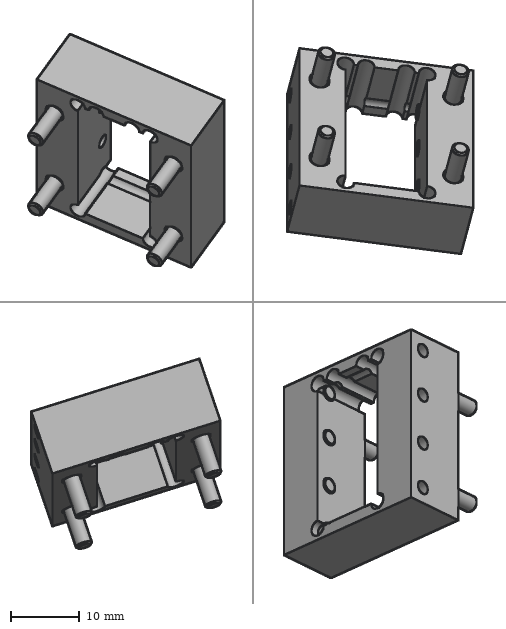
import cadquery as cq

WIDTH = 26.0
DEPTH = 10.0
HEIGHT = 28.0
CAVITY_LEFT = 6.92
CAVITY_RIGHT = WIDTH - CAVITY_LEFT
CAVITY_BOTTOM = 1.95
CAVITY_TOP = HEIGHT - CAVITY_BOTTOM
RELIEF_RADIUS = 1.23

NOTCH_INSET = 10.0
NOTCH_CENTERS_X = (NOTCH_INSET, WIDTH - NOTCH_INSET)

PIN_DIAMETER = 2.5
PIN_RADIUS = PIN_DIAMETER / 2
PIN_CHAMFER = 0.28
PIN_REACH = 6.0
PIN_BODY_RADIUS = 1.48
PIN_SHOULDER = PIN_BODY_RADIUS - PIN_RADIUS
PIN_SHOULDER_DEPTH = 0.28
PIN_INSET_X = 3.0
PIN_INSET_Z = 6.0
PIN_CENTERS_X = (PIN_INSET_X, WIDTH - PIN_INSET_X)
PIN_CENTERS_Z = (PIN_INSET_Z, HEIGHT - PIN_INSET_Z)

CROSS_RADIUS = 1.05
CROSS_BACK_INSET = 2.5
CROSS_Y = DEPTH - CROSS_BACK_INSET
CROSS_OUTER_INSET = 2.58
CROSS_INNER_INSET = 10.0
CROSS_CENTERS_Z = (
    CROSS_OUTER_INSET,
    CROSS_INNER_INSET,
    HEIGHT - CROSS_INNER_INSET,
    HEIGHT - CROSS_OUTER_INSET,
)
PLUG_RADIUS = 1.2
PLUG_CHAMFER = 0.2
PLUG_PROTRUSION = 0.15
PLUG_DEPTH = 2 * RELIEF_RADIUS


def cylinder_along_y(x, z, radius, y_start, length):
    start = cq.Vector(x, y_start, z)
    return cq.Workplane(cq.Solid.makeCylinder(radius, length, start, cq.Vector(0, 1, 0)))


def cylinder_along_x(z, radius, x_start, length):
    start = cq.Vector(x_start, CROSS_Y, z)
    return cq.Workplane(cq.Solid.makeCylinder(radius, length, start, cq.Vector(1, 0, 0)))


def make_frame():
    frame = cq.Workplane().box(WIDTH, DEPTH, HEIGHT, centered=False)
    cavity = (
        cq.Workplane()
        .box(CAVITY_RIGHT - CAVITY_LEFT, DEPTH, CAVITY_TOP - CAVITY_BOTTOM, centered=False)
        .translate((CAVITY_LEFT, 0, CAVITY_BOTTOM))
    )
    frame = frame.cut(cavity)
    corners = [(x, z) for x in (CAVITY_LEFT, CAVITY_RIGHT) for z in (CAVITY_BOTTOM, CAVITY_TOP)]
    notches = [(x, CAVITY_TOP) for x in NOTCH_CENTERS_X]
    for x, z in corners + notches:
        frame = frame.cut(cylinder_along_y(x, z, RELIEF_RADIUS, 0, DEPTH))
    return frame


def make_front_pin(x, z):
    pin = cylinder_along_y(x, z, PIN_RADIUS, -PIN_REACH, PIN_REACH + PIN_SHOULDER_DEPTH)
    pin = pin.faces("<Y").chamfer(PIN_CHAMFER)
    shoulder = cq.Solid.makeCone(
        PIN_RADIUS,
        PIN_BODY_RADIUS,
        PIN_SHOULDER,
        cq.Vector(x, PIN_SHOULDER_DEPTH, z),
        cq.Vector(0, 1, 0),
    )
    return pin.union(cq.Workplane(shoulder))


def add_front_pins(body):
    for x in PIN_CENTERS_X:
        for z in PIN_CENTERS_Z:
            bore = cylinder_along_y(x, z, PIN_BODY_RADIUS, 0, PIN_SHOULDER_DEPTH + PIN_SHOULDER)
            body = body.cut(bore).union(make_front_pin(x, z))
    return body


def add_cross_holes_and_plugs(body):
    plug_start = CAVITY_RIGHT - PLUG_PROTRUSION
    for z in CROSS_CENTERS_Z:
        body = body.cut(cylinder_along_x(z, CROSS_RADIUS, 0, CAVITY_RIGHT))
        body = body.cut(cylinder_along_x(z, PLUG_RADIUS, CAVITY_RIGHT, PLUG_DEPTH))
        plug = cylinder_along_x(z, PLUG_RADIUS, plug_start, PLUG_PROTRUSION + PLUG_DEPTH)
        body = body.union(plug.faces("<X").chamfer(PLUG_CHAMFER))
    return body


result = add_cross_holes_and_plugs(add_front_pins(make_frame()))